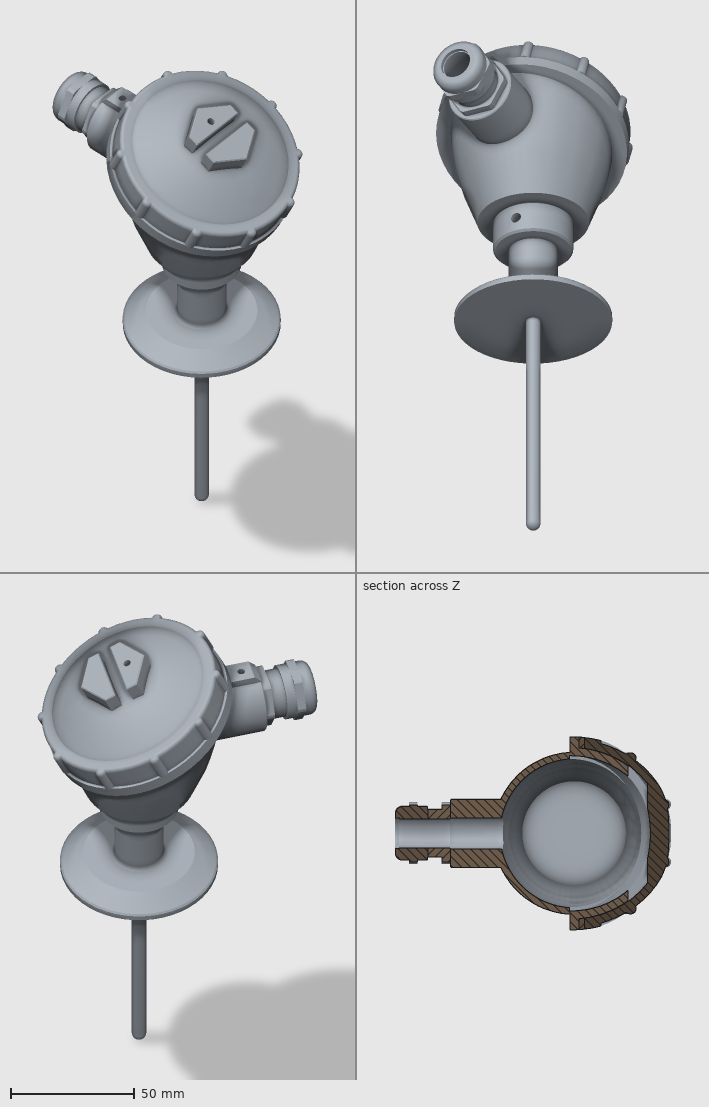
import cadquery as cq
import math


PROBE_D = 6.0
FLANGE_Z = 100.0
FLANGE_D = 64.3
FLANGE_RIM_H = 2.9
FLANGE_RIM_CHAMFER = 0.7
FLANGE_H = 7.0
FLANGE_TOP_D = 45.3
STEM_D = 20.0
STEM_FILLET = 1.8
COLLAR_Z = 133.5
COLLAR_D = 32.5
COLLAR_CHAMFER = 0.9
COLLAR_HOLE_D = 4.5

BOWL_Z = 147.5
BOWL_BOTTOM_R = 22.7
BOWL_MID_R = 30.1
BOWL_MID_H = 21.5
BOWL_TOP_R = 34.0
BOWL_TOP_H = 52.8
WALL = 2.9
RIM_R = 39.5
RIM_BOTTOM = -4.0
RIM_TOP = -2.5
SPIGOT_D = 70.0
SPIGOT_TOP = 5.5
SPIGOT_WALL = 3.5

ENTRY_Z = 182.7
ENTRY_D = 28.2
ENTRY_FACE_X = -50.5
ENTRY_CHAMFER = 0.5
ENTRY_BORE_D = 13.2
BOSS_W = 9.7
BOSS_TOP = 16.5
BOSS_CHAMFER = 2.9
BOSS_HOLE_D = 3.0
BOSS_HOLE_X = -43.1
BOSS_HOLE_DEPTH = 4.5

GLAND_HEX_AF = 22.5
GLAND_HEX_CORNER_D = 25.0
GLAND_HEX_L = 3.5
NECK_D = 20.0
NECK_L = 5.7
NUT_D = 22.5
NUT_L = 13.2
NUT_HEX_OFFSET = 4.0
NUT_FILLET = 3.0
GLAND_BORE_D = 12.3
MOUTH_BORE_D = 13.0
MOUTH_BORE_DEPTH = 1.8

TILT = 23.5
PIVOT_Z = 188.4
SKIRT_BOTTOM = -1.5
SKIRT_TOP = 1.0
LID_TOP = 12.0
LID_WALL_R = 38.3
LID_FILLET = 1.5
LID_CEILING = 8.5
CEILING_LEDGE = 4.6
DOME_BASE_R = 33.2
DOME_TOP = 22.5
DOME_WALL = 4.0
RIB_COUNT = 10
RIB_D = 4.5
RIB_CENTER_R = 37.9
KNOB_AF = 25.3
KNOB_CHAMFER = 0.5
KNOB_TOP = 28.4
KNOB_GAP_W = 5.0
KNOB_HOLE_D = 3.0
KNOB_HOLE_OFFSET = 6.8

tilt = math.radians(TILT)
lid_plane = cq.Plane(
    origin=(0, 0, PIVOT_Z),
    xDir=(math.cos(tilt), 0, -math.sin(tilt)),
    normal=(math.sin(tilt), 0, math.cos(tilt)),
)
along_lid_axis = cq.selectors.DirectionMinMaxSelector(lid_plane.zDir)


def tilted(height):
    """Workplane square to the lid axis, at a height above the pivot."""
    return cq.Workplane(lid_plane).workplane(offset=height)


def tilted_disc(radius, bottom, top):
    return tilted(bottom).circle(radius).extrude(top - bottom)


def cable_axis(x):
    """Workplane square to the cable entry, extruding outward toward -X."""
    return cq.Workplane("YZ", origin=(x, 0, ENTRY_Z)).transformed(rotate=(0, 180, 0))


def make_probe():
    radius = PROBE_D / 2
    profile = (
        cq.Workplane("XZ")
        .radiusArc((radius, radius), -radius)
        .lineTo(radius, FLANGE_Z)
        .lineTo(0, FLANGE_Z)
        .close()
    )
    return profile.revolve(360, (0, 0, 0), (0, 1, 0))


def make_stem():
    flange_r = FLANGE_D / 2
    stem_r = STEM_D / 2
    rim_z = FLANGE_Z + FLANGE_RIM_H
    top_z = FLANGE_Z + FLANGE_H
    profile = (
        cq.Workplane("XZ")
        .moveTo(0, FLANGE_Z)
        .lineTo(flange_r, FLANGE_Z)
        .lineTo(flange_r, rim_z - FLANGE_RIM_CHAMFER)
        .lineTo(flange_r - FLANGE_RIM_CHAMFER, rim_z)
        .lineTo(FLANGE_TOP_D / 2, top_z)
        .lineTo(stem_r + STEM_FILLET, top_z)
        .radiusArc((stem_r, top_z + STEM_FILLET), STEM_FILLET)
        .lineTo(stem_r, COLLAR_Z)
        .lineTo(0, COLLAR_Z)
        .close()
    )
    return profile.revolve(360, (0, 0, 0), (0, 1, 0))


def make_collar():
    height = BOWL_Z - COLLAR_Z
    collar = cq.Workplane("XY", origin=(0, 0, COLLAR_Z)).circle(COLLAR_D / 2).extrude(height)
    collar = collar.edges().chamfer(COLLAR_CHAMFER)
    hole = (
        cq.Workplane("YZ", origin=(-COLLAR_D / 2, 0, COLLAR_Z + height / 2))
        .circle(COLLAR_HOLE_D / 2)
        .extrude((COLLAR_D - STEM_D) / 2)
    )
    return collar.cut(hole)


def bowl(inset):
    """Bowl about the Z axis up to the tilted rim, with its side moved inward by inset."""
    top_z = BOWL_Z + BOWL_TOP_H
    shape = (
        cq.Workplane("XZ")
        .moveTo(0, BOWL_Z)
        .lineTo(BOWL_BOTTOM_R - inset, BOWL_Z)
        .threePointArc((BOWL_MID_R - inset, BOWL_Z + BOWL_MID_H), (BOWL_TOP_R - inset, top_z))
        .lineTo(0, top_z)
        .close()
        .revolve(360, (0, 0, 0), (0, 1, 0))
    )
    return shape.cut(tilted_disc(2 * RIM_R, RIM_BOTTOM, RIM_BOTTOM + BOWL_TOP_H))


def make_entry():
    """Cable entry tube, with a flat-topped boss along its upper side."""
    inner_x = WALL - BOWL_MID_R
    length = inner_x - ENTRY_FACE_X
    tube = cable_axis(inner_x).circle(ENTRY_D / 2).extrude(length).edges("<X").chamfer(ENTRY_CHAMFER)
    boss = (
        cq.Workplane("XY", origin=(ENTRY_FACE_X, 0, ENTRY_Z))
        .box(length - WALL, BOSS_W, BOSS_TOP, centered=(False, True, False))
        .edges("<X and >Z")
        .chamfer(BOSS_CHAMFER)
    )
    hole = (
        cq.Workplane("XY", origin=(BOSS_HOLE_X, 0, ENTRY_Z + BOSS_TOP - BOSS_HOLE_DEPTH))
        .circle(BOSS_HOLE_D / 2)
        .extrude(BOSS_HOLE_DEPTH)
    )
    return tube.union(boss).cut(hole)


def make_housing():
    spigot_r = SPIGOT_D / 2
    mouth_r = spigot_r - SPIGOT_WALL
    rim = tilted_disc(RIM_R, RIM_BOTTOM, RIM_TOP)
    spigot = tilted_disc(spigot_r, RIM_BOTTOM, SPIGOT_TOP)
    mouth = tilted_disc(mouth_r, RIM_BOTTOM, SPIGOT_TOP)
    cable_bore = cable_axis(0).circle(ENTRY_BORE_D / 2).extrude(-ENTRY_FACE_X)
    floor = cq.Workplane("XY", origin=(0, 0, BOWL_Z)).circle(BOWL_MID_R).extrude(WALL)
    cavity = bowl(WALL).cut(floor)
    shell = bowl(0).union(make_entry()).union(rim).union(spigot)
    return shell.cut(cavity).cut(mouth).cut(cable_bore)


def make_gasket():
    return tilted(RIM_TOP).circle(RIM_R).circle(SPIGOT_D / 2).extrude(SKIRT_BOTTOM - RIM_TOP)


def dome(base_r, base, top):
    """Spherical cap about the lid axis."""
    rise = top - base
    ball_r = (base_r**2 + rise**2) / (2 * rise)
    return (
        cq.Workplane("XZ")
        .moveTo(0, base)
        .lineTo(base_r, base)
        .radiusArc((0, top), -ball_r)
        .close()
        .revolve(360, (0, 0, 0), (0, 1, 0))
        .val()
        .moved(cq.Location(lid_plane))
    )


def make_knob():
    """Hexagonal grip in two halves, with a gap between them and a hole for a seal wire."""
    corner_d = KNOB_AF / math.cos(math.pi / 6)
    height = KNOB_TOP - LID_TOP
    hole_depth = KNOB_TOP - DOME_TOP
    hexagon = tilted(LID_TOP).polygon(6, corner_d).extrude(height)
    gap = tilted(LID_TOP).rect(KNOB_GAP_W, corner_d).extrude(height)
    knob = hexagon.cut(gap).faces(along_lid_axis).edges().chamfer(KNOB_CHAMFER)
    hole = tilted(DOME_TOP).center(-KNOB_HOLE_OFFSET, 0).circle(KNOB_HOLE_D / 2).extrude(hole_depth)
    return knob.cut(hole)


def make_lid():
    height = LID_TOP - SKIRT_TOP
    ribs = tilted(SKIRT_TOP).polarArray(RIB_CENTER_R, 90, 360, RIB_COUNT).circle(RIB_D / 2).extrude(height)
    wall = tilted_disc(LID_WALL_R, SKIRT_TOP, LID_TOP).union(ribs)
    wall = wall.faces(along_lid_axis).edges().fillet(LID_FILLET)
    skirt = tilted_disc(RIM_R, SKIRT_BOTTOM, SKIRT_TOP)
    lid = wall.union(skirt).union(dome(DOME_BASE_R, LID_TOP, DOME_TOP)).union(make_knob())
    bore = tilted_disc(SPIGOT_D / 2, SKIRT_BOTTOM, LID_CEILING)
    hollow = dome(SPIGOT_D / 2 - CEILING_LEDGE, LID_CEILING, DOME_TOP - DOME_WALL)
    return lid.cut(bore).cut(hollow)


def cable_hexagon(x, length):
    """Hexagon about the cable axis, flats on top and bottom, its corners turned round."""
    hexagon = cable_axis(x).polygon(6, GLAND_HEX_AF / math.cos(math.pi / 6)).extrude(length)
    return hexagon.intersect(cable_axis(x).circle(GLAND_HEX_CORNER_D / 2).extrude(length))


def make_gland_body():
    neck = cable_axis(ENTRY_FACE_X - GLAND_HEX_L).circle(NECK_D / 2).extrude(NECK_L)
    body = cable_hexagon(ENTRY_FACE_X, GLAND_HEX_L).union(neck)
    bore = cable_axis(ENTRY_FACE_X).circle(GLAND_BORE_D / 2).extrude(GLAND_HEX_L + NECK_L)
    return body.cut(bore)


def make_gland_nut():
    face_x = ENTRY_FACE_X - GLAND_HEX_L - NECK_L
    nut = cable_axis(face_x).circle(NUT_D / 2).extrude(NUT_L).edges("<X").fillet(NUT_FILLET)
    hexagon = cable_hexagon(face_x - NUT_HEX_OFFSET, GLAND_HEX_L)
    bore = cable_axis(face_x).circle(GLAND_BORE_D / 2).extrude(NUT_L)
    mouth = cable_axis(face_x - NUT_L + MOUTH_BORE_DEPTH).circle(MOUTH_BORE_D / 2).extrude(MOUTH_BORE_DEPTH)
    return nut.union(hexagon).cut(bore).cut(mouth)


probe = make_probe()
stem = make_stem()
collar = make_collar()
housing = make_housing()
gasket = make_gasket()
lid = make_lid()
gland_body = make_gland_body()
gland_nut = make_gland_nut()

bodies = [probe, stem, collar, housing, gasket, lid, gland_body, gland_nut]
result = cq.Compound.makeCompound([body.val() for body in bodies])